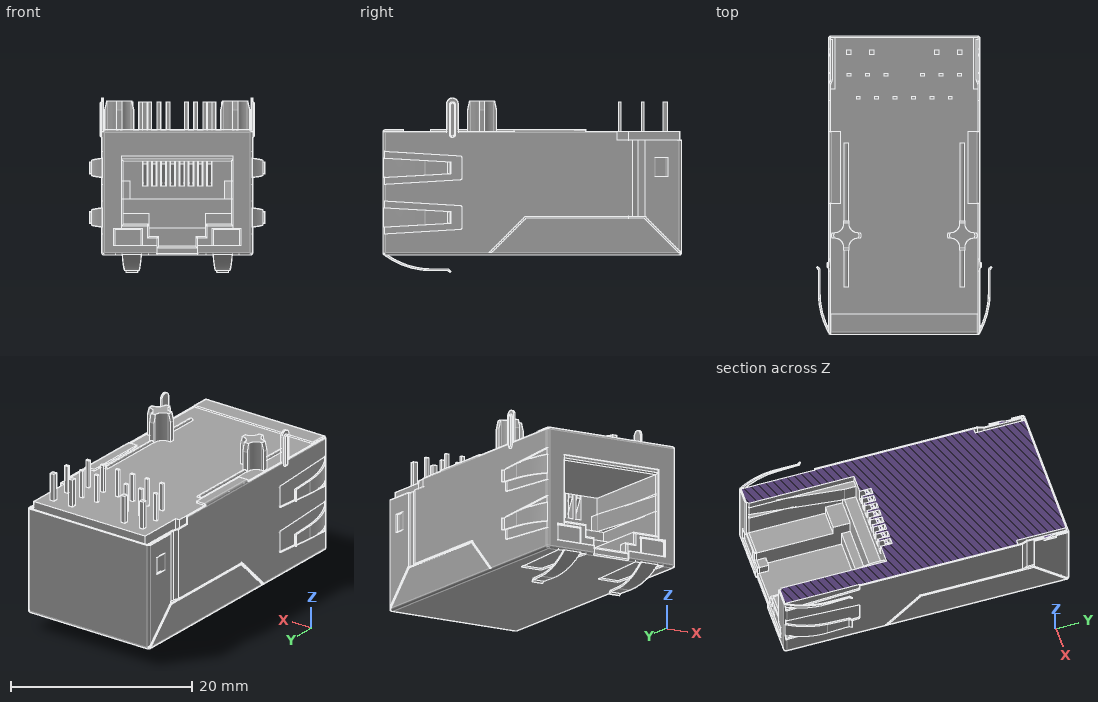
import cadquery as cq
import math


LENGTH = 33.02
HALF_WIDTH = 8.35
SHEET = 0.2
BEND_RADIUS = 0.3
HEIGHT = 13.87
WALL_TOP = HEIGHT - SHEET
INNER_HALF = HALF_WIDTH - SHEET
REAR_INNER = LENGTH - SHEET

FRONT_STRIP_DEPTH = 2.3
TOP_FLAP_FRONT = 14.5
TOP_FLAP_REAR = 22.42
TOP_FLAP_INNER_X = 7.03
REAR_NOTCH_Y = 25.85
REAR_NOTCH_Z = 12.7
REAR_FLAP_Y = 28.95
JOG_FRONT_Y = 27.57
JOG_REAR_Y = 28.2
JOG_CLEARANCE = 0.03
LATCH_FRONT_Y = 30.08
LATCH_RAMP_END_Y = 31.3
LATCH_REAR_Y = 31.55
LATCH_BOTTOM = 8.72
LATCH_TOP = 10.75

SLIT_TOP = 4.3
SLIT_FRONT_Y = 15.75
SLIT_WIDTH = 0.2

SPRING_TIP_Y = 7.53
SPRING_KICK_Y = 7.15
SIDE_SPRING_FLAT_Y = 4.65
BOTTOM_SPRING_FLAT_Y = 5.4
SPRING_ROOT_Y = 0.1
SPRING_ROOT_DEPTH = 0.05
SPRING_KICK = 0.2
SPRING_ROOT_WIDTH = 2.15
SPRING_TIP_WIDTH = 1.3
WINDOW_REAR_Y = 8.75
WINDOW_FRONT_WIDTH = 3.63
WINDOW_REAR_WIDTH = 2.6
WINDOW_CORNER = 0.2
SPRING_SPAN = 19.38
SIDE_SPRING_REACH = SPRING_SPAN / 2 - HALF_WIDTH
BOTTOM_SPRING_REACH = 1.9
SIDE_SPRING_Z = (4.15, 9.65)
BOTTOM_SPRING_X = 5.02

TAB_Y = 7.7
TAB_WIDTH = 1.3
TAB_TOP = 17.37
TAB_RIB_WIDTH = 0.7
TAB_RIB_HEIGHT = 0.15
TAB_RIB_BEVEL = 0.13
TAB_RIB_BOTTOM = 13.0
TAB_RIB_TOP = 16.95

MOUTH_HALF = 5.98
MOUTH_TOP = 10.4
SHELF_Z = 3.45
CHANNEL_HALF = 3.1
SILL_Z = 2.08
SILL_HALF = 2.05
SILL_DEPTH = 1.25
FLOOR_Z = 1.0
MOUTH_CHAMFER = 0.2
SHIELD_OPENING_TOP = 10.93

CONTACT_WALL_Y = 12.55
LEDGE_Y = 11.23
CHANNEL_END_Y = 10.25
SHELF_END_Y = 9.25
LEDGE_Z = 6.2
SHELF_BLOCK_Z = 4.6
CHANNEL_BLOCK_Z = 3.0
GUIDE_TOP = 8.2
GUIDE_INNER_X = 5.22
GUIDE_RECESS = 0.5
GUIDE_FRONT_Y = SHEET + MOUTH_CHAMFER

CONTACT_COUNT = 8
CONTACT_SPAN = 7.1
CONTACT_PITCH = CONTACT_SPAN / (CONTACT_COUNT - 1)
CONTACT_SLOT_WIDTH = 0.63
CONTACT_WIDTH = 0.43
CONTACT_THICKNESS = 0.33
CONTACT_KNEE = 0.33
CONTACT_SLOT_BOTTOM = 7.63
CONTACT_SLOT_DEPTH = 1.32

LIGHT_INNER_X = 3.85
LIGHT_OUTER_X = 7.03
LIGHT_BOTTOM = 1.1
LIGHT_TOP = 2.97
LIGHT_GAP = 0.13
LIGHT_GAP_DEPTH = 0.33

NARROW_HALF = 7.65
NARROW_Y = 27.15
POST_X = 6.4
POST_Y = 10.95
POST_DIAMETER = 3.25
POST_TOP = 17.05
POST_ARM = 0.6
POST_FLUTE_RADIUS = 1.0
POST_LEAD_IN = 0.23
POST_LEAD_IN_LENGTH = 1.0
RIB_FRONT_Y = 5.25
RIB_REAR_Y = 21.15
RIB_RADIUS = 0.23
PIN_TOP = 16.95
PIN_ROOT = WALL_TOP - 0.33
FRONT_ROW_COUNT = 6
MIDDLE_ROW_SPAN = 12.2
SIGNAL_PITCH = MIDDLE_ROW_SPAN / FRONT_ROW_COUNT
SIGNAL_SIZE = (0.43, 0.3)
POWER_SIZE = (0.53, 0.53)
POWER_OUTER_X = 6.15
POWER_INNER_X = 3.6
REAR_ROW_Y = 31.2
MIDDLE_ROW_Y = 28.73
FRONT_ROW_Y = 26.2


def block(x0, x1, y0, y1, z0, z1):
    """Axis-aligned box between two corners."""
    return cq.Workplane("XY").box(x1 - x0, y1 - y0, z1 - z0, centered=False).translate((x0, y0, z0))


def both_sides(solid):
    """A shape on the +X side together with its mirror image."""
    return solid.union(solid.mirror("YZ"))


def side_prism(points, x0, x1):
    """Outline in (Y, Z) extruded along X from x0 to x1."""
    return cq.Workplane("YZ").polyline(points).close().extrude(x1 - x0).translate((x0, 0, 0))


def plan_prism(points, z0, z1):
    """Outline in (X, Y) extruded upward from z0 to z1."""
    return cq.Workplane("XY").polyline(points).close().extrude(z1 - z0).translate((0, 0, z0))



def shield_shell():
    """Folded box, open at the top except for a front strip and two side flaps."""
    outer = block(-HALF_WIDTH, HALF_WIDTH, 0, LENGTH, 0, HEIGHT).edges().fillet(BEND_RADIUS)
    inner = block(-INNER_HALF, INNER_HALF, SHEET, REAR_INNER, SHEET, WALL_TOP)
    strip = block(-INNER_HALF, INNER_HALF, 0, FRONT_STRIP_DEPTH, WALL_TOP, HEIGHT)
    flap = block(TOP_FLAP_INNER_X, HALF_WIDTH, TOP_FLAP_FRONT, TOP_FLAP_REAR, WALL_TOP, HEIGHT)
    lid = block(-HALF_WIDTH, HALF_WIDTH, 0, LENGTH, WALL_TOP, HEIGHT)
    removed_lid = lid.cut(strip).cut(both_sides(flap))
    rear_notch = block(-HALF_WIDTH, HALF_WIDTH, REAR_NOTCH_Y, LENGTH, REAR_NOTCH_Z, HEIGHT)
    return outer.cut(inner).cut(removed_lid).cut(rear_notch)


def flap_slit():
    """45-degree slit that frees the bottom side flap from the wall and the rear flap."""
    outline = [
        (SLIT_FRONT_Y - SLIT_TOP, 0),
        (SLIT_FRONT_Y, SLIT_TOP),
        (REAR_FLAP_Y, SLIT_TOP),
        (REAR_FLAP_Y + SLIT_TOP, 0),
    ]
    outside = cq.Workplane("YZ").polyline(outline).close().extrude(SHEET)
    inside = cq.Workplane("YZ").polyline(outline).close().offset2D(-SLIT_WIDTH).extrude(SHEET)
    bend_zone = block(0, SHEET, 0, LENGTH, 0, BEND_RADIUS)
    return outside.cut(inside).cut(bend_zone).translate((INNER_HALF, 0, 0))


def rear_opening():
    """Gap in the outer wall where the side wall steps inward, plus the latch window."""
    gap = block(INNER_HALF, HALF_WIDTH, JOG_FRONT_Y, REAR_FLAP_Y, SLIT_TOP, REAR_NOTCH_Z)
    window = block(INNER_HALF, HALF_WIDTH, LATCH_FRONT_Y, LATCH_REAR_Y, LATCH_BOTTOM, LATCH_TOP)
    return gap.union(window)


def jogged_wall():
    """Rear end of the side wall, stepped inward behind the rear flap, with its latch ramp."""
    outer_x = INNER_HALF - JOG_CLEARANCE
    end_y = REAR_INNER - SHEET
    wall = plan_prism(
        [
            (HALF_WIDTH, JOG_FRONT_Y),
            (outer_x, JOG_REAR_Y),
            (outer_x, end_y),
            (outer_x - SHEET, end_y),
            (outer_x - SHEET, JOG_REAR_Y),
            (INNER_HALF, JOG_FRONT_Y),
        ],
        SLIT_TOP,
        REAR_NOTCH_Z,
    )
    ramp = plan_prism(
        [(outer_x, LATCH_FRONT_Y), (HALF_WIDTH, LATCH_FRONT_Y), (outer_x, LATCH_RAMP_END_Y)],
        LATCH_BOTTOM,
        LATCH_TOP,
    )
    return wall.union(ramp)


def ground_tab():
    """Round-ended solder tab rising from the side wall, stiffened by a raised rib."""
    root = WALL_TOP - TAB_WIDTH
    tab = (
        cq.Workplane("YZ")
        .center(TAB_Y, (root + TAB_TOP) / 2)
        .slot2D(TAB_TOP - root, TAB_WIDTH, 90)
        .extrude(SHEET)
        .translate((INNER_HALF, 0, 0))
    )
    rib = (
        cq.Workplane("YZ")
        .center(TAB_Y, (TAB_RIB_BOTTOM + TAB_RIB_TOP) / 2)
        .slot2D(TAB_RIB_TOP - TAB_RIB_BOTTOM, TAB_RIB_WIDTH, 90)
        .extrude(TAB_RIB_HEIGHT)
        .faces(">X")
        .chamfer(TAB_RIB_BEVEL)
        .translate((HALF_WIDTH, 0, 0))
    )
    return tab.union(rib)


def tapered_plate(y0, width0, y1, width1, half_depth):
    """Symmetric trapezium in (Y, Z), extruded equally to both sides of X = 0."""
    outline = [(y0, -width0 / 2), (y1, -width1 / 2), (y1, width1 / 2), (y0, width0 / 2)]
    return side_prism(outline, -half_depth, half_depth)


def spring_window():
    """Tapered opening under a spring finger, lying in the X = 0 plane."""
    window = tapered_plate(SHEET, WINDOW_FRONT_WIDTH, WINDOW_REAR_Y, WINDOW_REAR_WIDTH, SHEET)
    return window.edges("|X and >Y").fillet(WINDOW_CORNER)


def spring_finger(reach, flat_y):
    """Finger that arcs outward (+X) from the front edge, runs straight from flat_y and kicks out."""
    flat = reach - SPRING_KICK
    rise = flat + SPRING_ROOT_DEPTH
    run = flat_y - SPRING_ROOT_Y
    radius = (run**2 + rise**2) / (2 * rise)
    sweep = math.asin(run / radius)

    def on_arc(arc_radius, angle):
        return (flat - radius + arc_radius * math.cos(angle), flat_y - arc_radius * math.sin(angle))

    inner_radius = radius - SHEET
    profile = (
        cq.Workplane("XY")
        .moveTo(*on_arc(radius, sweep))
        .threePointArc(on_arc(radius, sweep / 2), on_arc(radius, 0))
        .lineTo(flat, SPRING_KICK_Y)
        .lineTo(reach, SPRING_TIP_Y - SHEET / 2)
        .lineTo(reach - SHEET / 2, SPRING_TIP_Y)
        .lineTo(flat - SHEET, SPRING_KICK_Y + SHEET / 2)
        .lineTo(*on_arc(inner_radius, 0))
        .threePointArc(on_arc(inner_radius, sweep / 2), on_arc(inner_radius, sweep))
        .close()
    )
    strip = profile.extrude(SPRING_ROOT_WIDTH / 2, both=True)
    taper = tapered_plate(0, SPRING_ROOT_WIDTH, SPRING_TIP_Y, SPRING_TIP_WIDTH, 2 * reach)
    inside = block(-reach, -SHEET, SHEET, SPRING_TIP_Y, -SPRING_ROOT_WIDTH, SPRING_ROOT_WIDTH)
    return strip.intersect(taper).cut(inside)


def on_side(shape, z):
    """Moves a part of a finger onto the +X wall at height z."""
    return shape.translate((HALF_WIDTH, 0, z))


def on_bottom(shape):
    """Turns a part of a finger to face down and moves it onto the bottom plate at +X."""
    return shape.rotate((0, 0, 0), (0, 1, 0), 90).translate((BOTTOM_SPRING_X, 0, 0))


def shield_opening():
    """Opening in the front plate for the mouth and both lights, with a slot to the bottom edge."""
    slot_half = SILL_HALF + MOUTH_CHAMFER
    mouth_half = MOUTH_HALF + MOUTH_CHAMFER
    mouth = block(-mouth_half, mouth_half, 0, SHEET, LIGHT_TOP, SHIELD_OPENING_TOP)
    lights = block(-LIGHT_OUTER_X, LIGHT_OUTER_X, 0, SHEET, LIGHT_BOTTOM, LIGHT_TOP)
    slot = block(-slot_half, slot_half, 0, SHEET, 0, LIGHT_BOTTOM)
    return mouth.union(lights).union(slot)


def make_shield():
    shield = shield_shell().cut(shield_opening())
    shield = shield.cut(both_sides(flap_slit())).cut(both_sides(rear_opening()))
    shield = shield.union(both_sides(jogged_wall())).union(both_sides(ground_tab()))
    for z in SIDE_SPRING_Z:
        shield = shield.cut(both_sides(on_side(spring_window(), z)))
        shield = shield.union(both_sides(on_side(spring_finger(SIDE_SPRING_REACH, SIDE_SPRING_FLAT_Y), z)))
    shield = shield.cut(both_sides(on_bottom(spring_window())))
    bottom_finger = spring_finger(BOTTOM_SPRING_REACH, BOTTOM_SPRING_FLAT_Y)
    return shield.union(both_sides(on_bottom(bottom_finger)))



def housing_block():
    """Moulded body that fills the shield, narrower at the rear."""
    front = block(-INNER_HALF, INNER_HALF, SHEET, NARROW_Y, SHEET, WALL_TOP)
    rear = block(-NARROW_HALF, NARROW_HALF, NARROW_Y, REAR_INNER, SHEET, WALL_TOP)
    return front.union(rear)


def plug_cavity():
    """Stepped plug cavity with a chamfered rim."""
    cavity = block(-MOUTH_HALF, MOUTH_HALF, SHEET, CONTACT_WALL_Y, LEDGE_Z, MOUTH_TOP)
    below = [
        (MOUTH_HALF, SHEET, LEDGE_Y, SHELF_BLOCK_Z, LEDGE_Z),
        (MOUTH_HALF, SHEET, SHELF_END_Y, SHELF_Z, SHELF_BLOCK_Z),
        (CHANNEL_HALF, SHEET, LEDGE_Y, CHANNEL_BLOCK_Z, SHELF_BLOCK_Z),
        (CHANNEL_HALF, SHEET, CHANNEL_END_Y, SILL_Z, CHANNEL_BLOCK_Z),
        (CHANNEL_HALF, SHEET + SILL_DEPTH, CHANNEL_END_Y, FLOOR_Z, SILL_Z),
        (SILL_HALF, SHEET, SHEET + SILL_DEPTH, FLOOR_Z, SILL_Z),
    ]
    for half, y0, y1, z0, z1 in below:
        cavity = cavity.union(block(-half, half, y0, y1, z0, z1))
    return cavity.union(mouth_rim())


def mouth_rim():
    """45-degree lead-in around the stepped mouth outline."""
    right = [
        (SILL_HALF, FLOOR_Z),
        (SILL_HALF, SILL_Z),
        (CHANNEL_HALF, SILL_Z),
        (CHANNEL_HALF, SHELF_Z),
        (MOUTH_HALF, SHELF_Z),
        (MOUTH_HALF, MOUTH_TOP),
    ]
    left = [(-x, z) for x, z in reversed(right)]
    return (
        cq.Workplane("XZ", origin=(0, SHEET, 0))
        .polyline(right + left)
        .close()
        .offset2D(MOUTH_CHAMFER, "intersection")
        .extrude(-MOUTH_CHAMFER, taper=45)
    )


def guide_start_y():
    """Y at which the guide's sloping face crosses the cavity side wall."""
    slope = (MOUTH_HALF + GUIDE_RECESS - GUIDE_INNER_X) / (LEDGE_Y - GUIDE_FRONT_Y)
    return GUIDE_FRONT_Y + GUIDE_RECESS / slope


def guide_recess():
    """Front end of the guide, sunk into the cavity side wall."""
    outline = [
        (MOUTH_HALF, GUIDE_FRONT_Y),
        (MOUTH_HALF + GUIDE_RECESS, GUIDE_FRONT_Y),
        (MOUTH_HALF, guide_start_y()),
    ]
    return plan_prism(outline, LEDGE_Z, GUIDE_TOP)


def guide_wedge():
    """Rear end of the guide, closing in on the plug."""
    outline = [
        (MOUTH_HALF, guide_start_y()),
        (GUIDE_INNER_X, LEDGE_Y),
        (GUIDE_INNER_X, CONTACT_WALL_Y),
        (MOUTH_HALF, CONTACT_WALL_Y),
    ]
    return plan_prism(outline, LEDGE_Z, GUIDE_TOP)


def centred_row(count, pitch):
    """Evenly spaced X positions centred on the part."""
    return [(i - (count - 1) / 2) * pitch for i in range(count)]


def contact_slot(x):
    half = CONTACT_SLOT_WIDTH / 2
    back = CONTACT_WALL_Y + CONTACT_SLOT_DEPTH
    return block(x - half, x + half, CONTACT_WALL_Y, back, CONTACT_SLOT_BOTTOM, MOUTH_TOP)


def contact(x):
    """Contact blade that drops from the ceiling, then slopes down and back across its slot."""
    back = CONTACT_WALL_Y + CONTACT_SLOT_DEPTH
    outline = [
        (CONTACT_WALL_Y, MOUTH_TOP - CONTACT_KNEE),
        (CONTACT_WALL_Y, MOUTH_TOP),
        (CONTACT_WALL_Y + CONTACT_THICKNESS, MOUTH_TOP),
        (back, CONTACT_SLOT_BOTTOM + CONTACT_THICKNESS),
        (back, CONTACT_SLOT_BOTTOM),
    ]
    return side_prism(outline, x - CONTACT_WIDTH / 2, x + CONTACT_WIDTH / 2)


def light_gap():
    """Groove that outlines an indicator light on three sides."""
    back = SHEET + LIGHT_GAP_DEPTH
    frame = block(LIGHT_INNER_X, LIGHT_OUTER_X, SHEET, back, LIGHT_BOTTOM, LIGHT_TOP)
    light = block(
        LIGHT_INNER_X + LIGHT_GAP, LIGHT_OUTER_X - LIGHT_GAP, SHEET, back, LIGHT_BOTTOM, LIGHT_TOP - LIGHT_GAP
    )
    return frame.cut(light)


def mounting_post():
    """Four-armed post with concave flutes and tapered arm tips."""
    radius = POST_DIAMETER / 2
    height = POST_TOP - WALL_TOP
    envelope = (
        cq.Workplane("XZ")
        .lineTo(radius, 0)
        .lineTo(radius, height - POST_LEAD_IN_LENGTH)
        .lineTo(radius - POST_LEAD_IN, height)
        .lineTo(0, height)
        .close()
        .revolve(360, (0, 0), (0, 1))
    )
    arms = (
        cq.Workplane("XY")
        .rect(POST_DIAMETER, POST_ARM)
        .extrude(height)
        .union(cq.Workplane("XY").rect(POST_ARM, POST_DIAMETER).extrude(height))
    )
    inner_corner = cq.selectors.BoxSelector((-POST_ARM, -POST_ARM, 0), (POST_ARM, POST_ARM, height))
    post = arms.edges("|Z").edges(inner_corner).fillet(POST_FLUTE_RADIUS).intersect(envelope)
    return post.translate((POST_X, POST_Y, WALL_TOP))


def crush_rib():
    """Half-round rib along the top face, running through the post."""
    rib = cq.Workplane("XZ").circle(RIB_RADIUS).extrude(RIB_FRONT_Y - RIB_REAR_Y)
    return rib.translate((POST_X, RIB_FRONT_Y, WALL_TOP))


def pin_row(xs, y, size):
    """Row of rectangular solder pins."""
    pins = cq.Workplane("XY", origin=(0, y, PIN_ROOT)).pushPoints([(x, 0) for x in xs])
    return pins.rect(*size).extrude(PIN_TOP - PIN_ROOT)


def make_housing():
    housing = housing_block().cut(plug_cavity())
    housing = housing.cut(both_sides(guide_recess())).union(both_sides(guide_wedge()))
    for x in centred_row(CONTACT_COUNT, CONTACT_PITCH):
        housing = housing.cut(contact_slot(x)).union(contact(x))
    housing = housing.cut(both_sides(light_gap()))
    housing = housing.union(both_sides(crush_rib())).union(both_sides(mounting_post()))
    power = [-POWER_OUTER_X, -POWER_INNER_X, POWER_INNER_X, POWER_OUTER_X]
    middle = [x for x in centred_row(FRONT_ROW_COUNT + 1, SIGNAL_PITCH) if x != 0]
    front = centred_row(FRONT_ROW_COUNT, SIGNAL_PITCH)
    housing = housing.union(pin_row(power, REAR_ROW_Y, POWER_SIZE))
    housing = housing.union(pin_row(middle, MIDDLE_ROW_Y, SIGNAL_SIZE))
    return housing.union(pin_row(front, FRONT_ROW_Y, SIGNAL_SIZE))


shield = make_shield()
housing = make_housing()

result = cq.Compound.makeCompound([shield.val(), housing.val()])